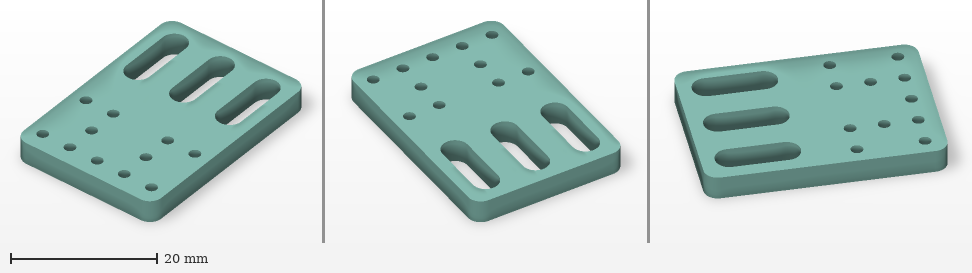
import cadquery as cq

plate_width = 24.0
plate_length = 34.0
plate_thickness = 3.6
corner_radius = 2.0

slot_width = 4.0
slot_length = 12.0
slot_pitch = 8.0
slot_edge_margin = 2.0
slot_center_y = plate_length / 2 - slot_edge_margin - slot_length / 2

hole_diameter = 1.75
hole_pitch = 4.75
hole_edge_distance = 3.0
bottom_row_y = -plate_length / 2 + hole_edge_distance

hole_columns_by_row = [
    (-2, -1, 0, 1, 2),
    (-1, 1),
    (-2, -1, 1, 2),
]


def make_plate():
    """Flat plate with rounded vertical corners, centred on the origin."""
    return (
        cq.Workplane("XY")
        .box(plate_width, plate_length, plate_thickness)
        .edges("|Z")
        .fillet(corner_radius)
    )


def cut_slots(body):
    """Cut the three round-ended slots through the plate."""
    centers = [(column * slot_pitch, slot_center_y) for column in (-1, 0, 1)]
    return (
        body.faces(">Z")
        .workplane(origin=(0, 0, 0))
        .pushPoints(centers)
        .slot2D(slot_length, slot_width, angle=90)
        .cutThruAll()
    )


def cut_holes(body):
    """Drill the grid of small holes through the plate."""
    centers = [
        (column * hole_pitch, bottom_row_y + row * hole_pitch)
        for row, columns in enumerate(hole_columns_by_row)
        for column in columns
    ]
    return (
        body.faces(">Z")
        .workplane(origin=(0, 0, 0))
        .pushPoints(centers)
        .hole(hole_diameter)
    )


result = cut_holes(cut_slots(make_plate()))